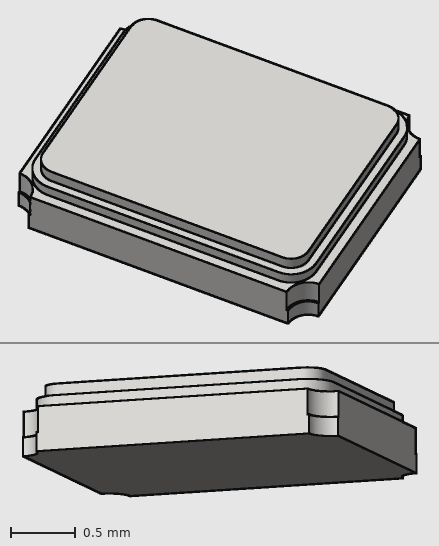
import cadquery as cq

length = 2.6
width = 2.1
total_height = 0.55
lower_base_height = 0.15
base_height = 0.354

lower_notch_radius = 0.175
upper_notch_radius = 0.187

ring_inset = 0.08
ring_height = 0.094
ring_to_lid_inset = 0.068
lid_corner_radius = 0.15
ring_corner_radius = lid_corner_radius + ring_to_lid_inset
lid_inset = ring_inset + ring_to_lid_inset
ring_top = base_height + ring_height


def notched_layer(bottom, top, notch_radius):
    """Full-size base layer with a round notch centred on each corner."""
    height = top - bottom
    layer = cq.Workplane("XY", origin=(0, 0, bottom)).rect(length, width).extrude(height)
    notches = (
        cq.Workplane("XY", origin=(0, 0, bottom))
        .rect(length, width, forConstruction=True)
        .vertices()
        .circle(notch_radius)
        .extrude(height)
    )
    return layer.cut(notches)


def rounded_plate(bottom, top, inset, corner_radius):
    """Plate set in from the base outline, with rounded vertical edges."""
    return (
        cq.Workplane("XY", origin=(0, 0, bottom))
        .rect(length - 2 * inset, width - 2 * inset)
        .extrude(top - bottom)
        .edges("|Z")
        .fillet(corner_radius)
    )


lower_base = notched_layer(0, lower_base_height, lower_notch_radius)
upper_base = notched_layer(lower_base_height, base_height, upper_notch_radius)
seal_ring = rounded_plate(base_height, ring_top, ring_inset, ring_corner_radius)
lid = rounded_plate(ring_top, total_height, lid_inset, lid_corner_radius)

result = lower_base.union(upper_base).union(seal_ring).union(lid)